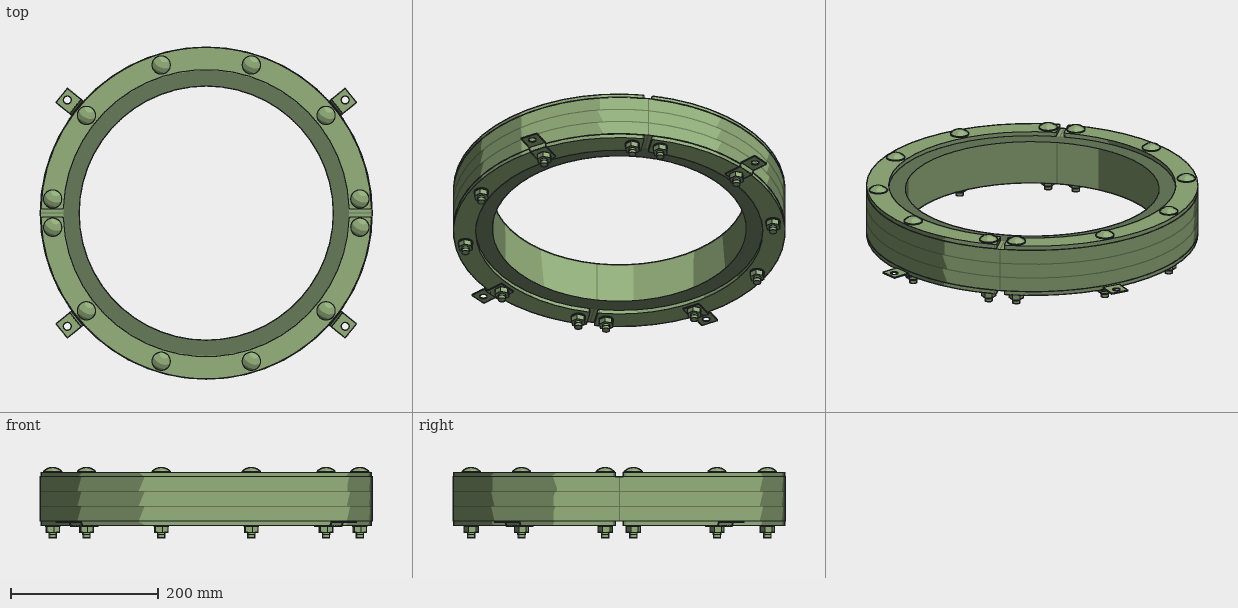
import cadquery as cq
import math


SEAL_OUTER_RADIUS = 225.0
SEAL_INNER_RADIUS = 172.0
PEEL_OUTER_RADIUS = 192.5
PEEL_LAYER_COUNT = 16
SHEET_COUNT = 3
SEAL_HEIGHT = 60.5
SHEET_THICKNESS = SEAL_HEIGHT / SHEET_COUNT

PLATE_OUTER_RADIUS = 223.5
PLATE_INNER_RADIUS = 193.5
PLATE_THICKNESS = 6.0
PLATE_OFFSET = 1.0
PLATE_END = 5.5
PLATE_CORNER_RADIUS = 2.2
PLATE_TOP = SEAL_HEIGHT + PLATE_THICKNESS
PLATE_BOTTOM = -PLATE_THICKNESS

BOLT_CIRCLE_RADIUS = 209.0
BOLTS_PER_HALF = 6
FIRST_BOLT_ANGLE = 5.0
BOLT_STEP = (180 - 2 * FIRST_BOLT_ANGLE) / (BOLTS_PER_HALF - 1)
HEAD_DIAMETER = 24.8
HEAD_RIM_HEIGHT = 1.5
HEAD_HEIGHT = 6.8
WASHER_DIAMETER = 20.0
WASHER_THICKNESS = 1.58
NUT_CORNER_DIAMETER = 20.0
NUT_HEIGHT = 7.5
NUT_ANGLE = 40.0
SHANK_DIAMETER = 10.5
SHANK_LENGTH = 2.92
TIP_DIAMETER = 10.0
TIP_LENGTH = 4.5

BRACKET_BOLTS = (1, BOLTS_PER_HALF - 2)
BRACKET_WIDTH = 24.8
BRACKET_THICKNESS = WASHER_THICKNESS
BRACKET_RISE = 5.5
FOOT_INNER_RADIUS = 199.0
BEND_INNER_RADIUS = 225.0
BEND_OUTER_RADIUS = 227.5
BRACKET_OUTER_RADIUS = 252.0
BRACKET_HOLE_RADIUS = 242.0
BRACKET_HOLE_DIAMETER = 10.5


def ring(outer_radius, inner_radius, height, base):
    return cq.Workplane("XY").workplane(offset=base).circle(outer_radius).circle(inner_radius).extrude(height)


def disc(diameter, height, base):
    return cq.Workplane("XY").workplane(offset=base).circle(diameter / 2).extrude(height)


def half_space(side):
    """Block that covers everything on one side of the split."""
    size = 3 * SEAL_OUTER_RADIUS
    return cq.Workplane("XY").box(size, size, size).translate((0, side * size / 2, 0))


def seal():
    """Solid half rings fused with their faces left unmerged, so the joints remain as edges."""
    layer = (PEEL_OUTER_RADIUS - SEAL_INNER_RADIUS) / PEEL_LAYER_COUNT
    rings = [
        ring(PEEL_OUTER_RADIUS - i * layer, PEEL_OUTER_RADIUS - (i + 1) * layer, SEAL_HEIGHT, 0)
        for i in range(PEEL_LAYER_COUNT)
    ]
    for sheet in range(SHEET_COUNT):
        base = sheet * SHEET_THICKNESS
        rings.append(ring(SEAL_OUTER_RADIUS, PEEL_OUTER_RADIUS, SHEET_THICKNESS, base))
    pieces = [full.intersect(half_space(side)).val() for full in rings for side in (1, -1)]
    return cq.Workplane(pieces[0].fuse(*pieces[1:]))


def clamp_plate(base):
    """Half-ring plate on the +Y side."""
    plate = ring(PLATE_OUTER_RADIUS, PLATE_INNER_RADIUS, PLATE_THICKNESS, base)
    plate = plate.translate((0, PLATE_OFFSET, 0))
    plate = plate.intersect(half_space(1).translate((0, PLATE_END, 0)))
    return plate.edges("|Z").fillet(PLATE_CORNER_RADIUS)


def dome_midpoint(radius):
    """Point halfway along the head's dome arc."""
    dome_height = HEAD_HEIGHT - HEAD_RIM_HEIGHT
    sphere_radius = (radius**2 + dome_height**2) / (2 * dome_height)
    half_angle = math.asin(radius / sphere_radius) / 2
    drop = sphere_radius * (1 - math.cos(half_angle))
    return (sphere_radius * math.sin(half_angle), HEAD_HEIGHT - drop)


def bolt_head():
    radius = HEAD_DIAMETER / 2
    profile = (
        cq.Workplane("XZ")
        .lineTo(radius, 0)
        .lineTo(radius, HEAD_RIM_HEIGHT)
        .threePointArc(dome_midpoint(radius), (0, HEAD_HEIGHT))
        .close()
    )
    return profile.revolve(360, (0, 0, 0), (0, 1, 0)).translate((0, 0, PLATE_TOP))


def nut_and_shank():
    nut_top = PLATE_BOTTOM - WASHER_THICKNESS
    nut_bottom = nut_top - NUT_HEIGHT
    shank_bottom = nut_bottom - SHANK_LENGTH
    nut = cq.Workplane("XY").polygon(6, NUT_CORNER_DIAMETER).extrude(-NUT_HEIGHT)
    nut = nut.rotate((0, 0, 0), (0, 0, 1), NUT_ANGLE).translate((0, 0, nut_top))
    return (
        disc(WASHER_DIAMETER, -WASHER_THICKNESS, PLATE_BOTTOM)
        .union(nut)
        .union(disc(SHANK_DIAMETER, -SHANK_LENGTH, nut_bottom))
        .union(disc(TIP_DIAMETER, -TIP_LENGTH, shank_bottom))
    )


def bracket():
    """Bracket lying along +X from the ring axis."""
    upper_edge = [
        (FOOT_INNER_RADIUS, PLATE_BOTTOM),
        (BEND_INNER_RADIUS, PLATE_BOTTOM),
        (BEND_OUTER_RADIUS, PLATE_BOTTOM + BRACKET_RISE),
        (BRACKET_OUTER_RADIUS, PLATE_BOTTOM + BRACKET_RISE),
    ]
    bend_angle = math.atan2(BRACKET_RISE, BEND_OUTER_RADIUS - BEND_INNER_RADIUS)
    bend_shift = BRACKET_THICKNESS * math.tan(bend_angle / 2)
    lower_edge = [
        (BRACKET_OUTER_RADIUS, PLATE_BOTTOM + BRACKET_RISE - BRACKET_THICKNESS),
        (BEND_OUTER_RADIUS + bend_shift, PLATE_BOTTOM + BRACKET_RISE - BRACKET_THICKNESS),
        (BEND_INNER_RADIUS + bend_shift, PLATE_BOTTOM - BRACKET_THICKNESS),
        (FOOT_INNER_RADIUS, PLATE_BOTTOM - BRACKET_THICKNESS),
    ]
    outline = cq.Workplane("XZ").polyline(upper_edge + lower_edge).close()
    strip = outline.extrude(BRACKET_WIDTH / 2, both=True)
    hole = disc(BRACKET_HOLE_DIAMETER, 2 * PLATE_THICKNESS, PLATE_BOTTOM)
    return strip.cut(hole.translate((BRACKET_HOLE_RADIUS, 0, 0)))


def half_hardware():
    """All metal parts of the +Y half."""
    parts = [clamp_plate(SEAL_HEIGHT), clamp_plate(PLATE_BOTTOM)]
    for index in range(BOLTS_PER_HALF):
        angle = FIRST_BOLT_ANGLE + index * BOLT_STEP
        x = BOLT_CIRCLE_RADIUS * math.cos(math.radians(angle))
        y = BOLT_CIRCLE_RADIUS * math.sin(math.radians(angle)) + PLATE_OFFSET
        parts.append(bolt_head().translate((x, y, 0)))
        parts.append(nut_and_shank().translate((x, y, 0)))
        if index in BRACKET_BOLTS:
            turned = bracket().rotate((0, 0, 0), (0, 0, 1), angle)
            parts.append(turned.translate((0, PLATE_OFFSET, 0)))
    return parts


near_parts = half_hardware()
far_parts = [part.rotate((0, 0, 0), (0, 0, 1), 180) for part in near_parts]
metal = [part.val() for part in near_parts + far_parts]
result = cq.Workplane(seal().val().fuse(*metal))